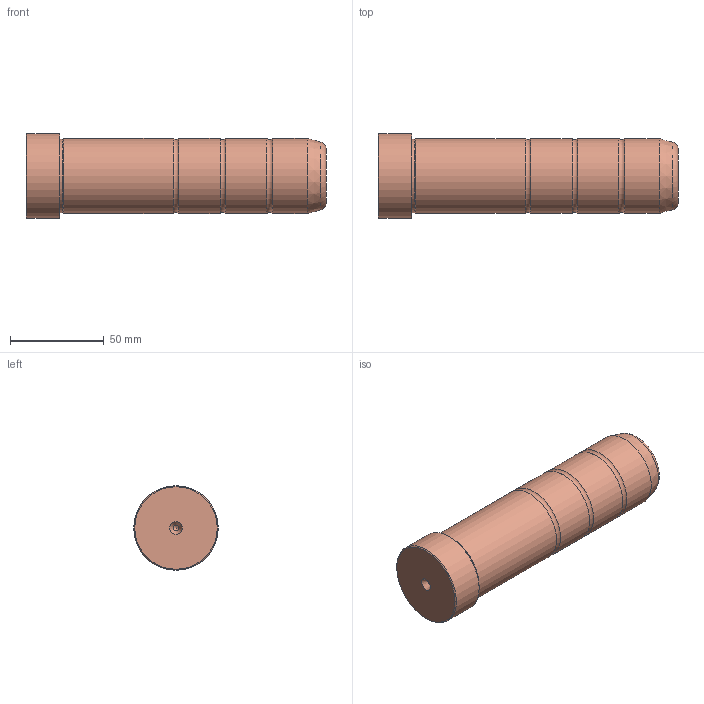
import cadquery as cq
import math

total_length = 160.0
head_diameter = 45.0
head_length = 18.0
head_face_chamfer = 0.5
head_back_chamfer = 0.3
shaft_diameter = 40.0

undercut_depth = 0.5
undercut_floor = 1.5

groove_width = 3.0
groove_radius = 2.0
groove_spacing = 25.0
first_groove_x = 80.0
groove_count = 3

taper_start = 150.0
taper_angle = math.radians(15.0)
tip_radius = 3.6

centre_hole_diameter = 3.15
centre_hole_mouth_diameter = 6.7
centre_hole_straight_length = 2.0
countersink_half_angle = math.radians(30.0)
drill_point_half_angle = math.radians(60.0)

head_radius = head_diameter / 2
shaft_radius = shaft_diameter / 2


def revolve_about_axis(profile):
    """Turn a closed half profile once around the pillar axis."""
    return profile.revolve(360, (0, 0, 0), (1, 0, 0))


def make_body():
    """Revolve the headed shaft with its tapered, rounded tip."""
    arc_centre_x = total_length - tip_radius
    arc_start_x = arc_centre_x + tip_radius * math.sin(taper_angle)
    arc_start_radius = shaft_radius - (arc_start_x - taper_start) * math.tan(taper_angle)
    arc_centre_radius = arc_start_radius - tip_radius * math.cos(taper_angle)
    arc_middle_angle = (math.pi / 2 - taper_angle) / 2
    arc_middle = (
        arc_centre_x + tip_radius * math.cos(arc_middle_angle),
        arc_centre_radius + tip_radius * math.sin(arc_middle_angle),
    )
    profile = (
        cq.Workplane("XZ")
        .moveTo(0, 0)
        .lineTo(0, head_radius - head_face_chamfer)
        .lineTo(head_face_chamfer, head_radius)
        .lineTo(head_length - head_back_chamfer, head_radius)
        .lineTo(head_length, head_radius - head_back_chamfer)
        .lineTo(head_length, shaft_radius)
        .lineTo(taper_start, shaft_radius)
        .lineTo(arc_start_x, arc_start_radius)
        .threePointArc(arc_middle, (total_length, arc_centre_radius))
        .lineTo(total_length, 0)
        .close()
    )
    return revolve_about_axis(profile)


def revolved_cutter(points):
    """Revolve a polygon of (x, radius) points around the pillar axis."""
    return revolve_about_axis(cq.Workplane("XZ").polyline(points).close())


def make_undercut():
    """Relief behind the head, running out to the shaft at 45 degrees."""
    floor_radius = shaft_radius - undercut_depth
    floor_end = head_length + undercut_floor
    return revolved_cutter([
        (head_length, floor_radius),
        (floor_end, floor_radius),
        (floor_end + undercut_depth, shaft_radius),
        (head_length, shaft_radius),
    ])


def make_groove(centre_x):
    """Shallow round-bottomed groove around the shaft."""
    half_width = groove_width / 2
    centre_radius = shaft_radius + math.sqrt(groove_radius**2 - half_width**2)
    groove_floor = (centre_x, centre_radius - groove_radius)
    profile = (
        cq.Workplane("XZ")
        .moveTo(centre_x - half_width, shaft_radius)
        .threePointArc(groove_floor, (centre_x + half_width, shaft_radius))
        .lineTo(centre_x + half_width, centre_radius)
        .lineTo(centre_x - half_width, centre_radius)
        .close()
    )
    return revolve_about_axis(profile)


def make_centre_hole():
    """Countersunk centre hole with a conical drill point."""
    hole_radius = centre_hole_diameter / 2
    mouth_radius = centre_hole_mouth_diameter / 2
    countersink_depth = (mouth_radius - hole_radius) / math.tan(countersink_half_angle)
    straight_end = countersink_depth + centre_hole_straight_length
    point_length = hole_radius / math.tan(drill_point_half_angle)
    return revolved_cutter([
        (0, 0),
        (0, mouth_radius),
        (countersink_depth, hole_radius),
        (straight_end, hole_radius),
        (straight_end + point_length, 0),
    ])


result = make_body().cut(make_undercut()).cut(make_centre_hole())
for index in range(groove_count):
    result = result.cut(make_groove(first_groove_x + index * groove_spacing))